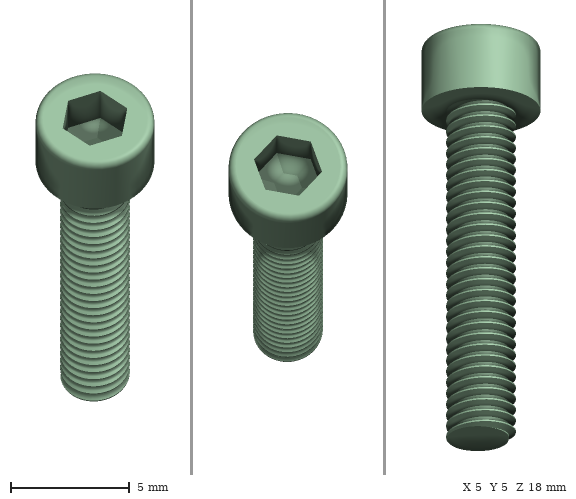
import cadquery as cq
import math

HEAD_DIAMETER = 5.0
HEAD_HEIGHT = 3.0
HEAD_EDGE_RADIUS = 0.3

SOCKET_ACROSS_FLATS = 2.52
SOCKET_FLOOR_ACROSS_FLATS = 1.03
SOCKET_WALL_DEPTH = 1.9
SOCKET_TAPER_DEPTH = 0.25

SHANK_LENGTH = 15.0
PITCH = 0.5
CREST_DIAMETER = 2.93
ROOT_DIAMETER = 2.36
CREST_RADIUS = CREST_DIAMETER / 2
ROOT_RADIUS = ROOT_DIAMETER / 2
FLANK_HALF_ANGLE = 30.0
CREST_WIDTH = PITCH / 8
FLANK_SLOPE = math.tan(math.radians(FLANK_HALF_ANGLE))
RIDGE_OVERLAP = 0.05
CREST_HEIGHT_ON_X = 0.11


def make_head():
    head = cq.Workplane("XY").circle(HEAD_DIAMETER / 2).extrude(HEAD_HEIGHT)
    return head.faces(">Z").edges().fillet(HEAD_EDGE_RADIUS)


def corner_diameter(across_flats):
    """Diameter of the circle through the corners of a hexagon."""
    return across_flats / math.cos(math.pi / 6)


def make_socket():
    """Hexagonal socket with two of its sides parallel to Y."""
    taper_start = HEAD_HEIGHT - SOCKET_WALL_DEPTH
    taper_plane = cq.Workplane("XY").workplane(offset=taper_start).transformed(rotate=(0, 0, 90))
    walls = taper_plane.polygon(6, corner_diameter(SOCKET_ACROSS_FLATS)).extrude(SOCKET_WALL_DEPTH)
    taper = (
        taper_plane.polygon(6, corner_diameter(SOCKET_ACROSS_FLATS))
        .workplane(offset=-SOCKET_TAPER_DEPTH)
        .polygon(6, corner_diameter(SOCKET_FLOOR_ACROSS_FLATS))
        .loft(ruled=True)
    )
    return walls.union(taper)


def make_thread_ridge():
    """Sweep the ridge along a helix that starts one pitch below the tip and ends inside the head."""
    start_height = CREST_HEIGHT_ON_X - SHANK_LENGTH - PITCH
    start_point = cq.Vector(0, 0, start_height)
    helix = cq.Wire.makeHelix(PITCH, SHANK_LENGTH + 2 * PITCH, ROOT_RADIUS, start_point)
    base_radius = ROOT_RADIUS - RIDGE_OVERLAP
    base_half_width = CREST_WIDTH / 2 + (CREST_RADIUS - base_radius) * FLANK_SLOPE
    profile = cq.Workplane("XZ").polyline(
        [
            (base_radius, start_height - base_half_width),
            (CREST_RADIUS, start_height - CREST_WIDTH / 2),
            (CREST_RADIUS, start_height + CREST_WIDTH / 2),
            (base_radius, start_height + base_half_width),
        ]
    ).close()
    return profile.sweep(cq.Workplane(helix), isFrenet=True)


def make_shank():
    """Core cylinder with the thread ridge, both ending flush at the tip and under the head."""
    envelope = cq.Workplane("XY").circle(HEAD_DIAMETER / 2).extrude(-SHANK_LENGTH)
    core = cq.Workplane("XY").circle(ROOT_RADIUS).extrude(-SHANK_LENGTH)
    return core.union(make_thread_ridge().intersect(envelope, clean=False), clean=False)


screw = make_head().cut(make_socket()).union(make_shank(), clean=False)
result = cq.Workplane(screw.solids().val())